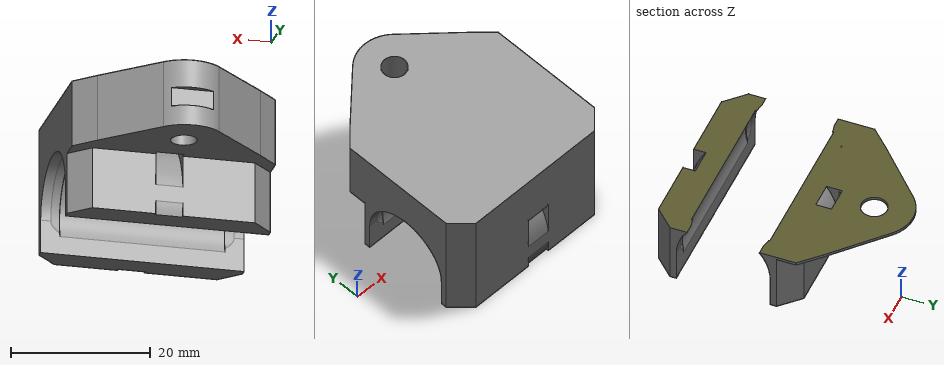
import cadquery as cq
import math

width = 30.0
depth = 22.5
height = 19.25
corner_chamfer = 3.0

plate_thickness = 10.0
plate_overhang = corner_chamfer
lug_radius = 6.0
total_length = 34.5
lug_hole_diameter = 3.9
lug_center_y = total_length - lug_radius
plate_bottom = height - plate_thickness

notch_depth = 0.85
notch_bottom = 12.25
notch_height = 2.8

arch_radius = 7.25
arch_center_y = depth / 2
arch_center_z = 5.0
bore_radius = 7.6
bore_inset = 2.83
taper_inset = 1.5
taper_end_radius = 7.45

strap_inner_radius = 11.3
strap_outer_radius = 13.35
strap_width = 4.0
strap_center_x = 0.65
strap_center_z = 3.25


def chamfered_block(length, bottom):
    """Rectangular block up to the top face with its four vertical edges chamfered."""
    return (
        cq.Workplane("XY", origin=(0, 0, bottom))
        .rect(width, length)
        .extrude(height - bottom)
        .edges("|Z")
        .chamfer(corner_chamfer)
        .translate((0, length / 2, 0))
    )


def lug_wedge():
    """Rounded lug whose sides run tangent from the plate's rear corners."""
    base_x = width / 2 - corner_chamfer
    base_y = depth + plate_overhang
    rise = lug_center_y - base_y
    reach = math.hypot(base_x, rise)
    tangent_angle = math.acos(lug_radius / reach) - math.atan2(rise, base_x)
    tangent_x = lug_radius * math.cos(tangent_angle)
    tangent_y = lug_center_y + lug_radius * math.sin(tangent_angle)
    return (
        cq.Workplane("XY", origin=(0, 0, plate_bottom))
        .moveTo(-base_x, base_y)
        .lineTo(base_x, base_y)
        .lineTo(tangent_x, tangent_y)
        .threePointArc((0, total_length), (-tangent_x, tangent_y))
        .close()
        .extrude(plate_thickness)
    )


def lug_hole():
    return (
        cq.Workplane("XY", origin=(0, lug_center_y, plate_bottom))
        .circle(lug_hole_diameter / 2)
        .extrude(plate_thickness)
    )


def lug_notch():
    return (
        cq.Workplane("XY", origin=(0, total_length, notch_bottom))
        .rect(width, 2 * notch_depth)
        .extrude(notch_height)
    )


def arch_passage():
    """Straight-sided arch, open at the underside, through the full width."""
    straight_sides = (
        cq.Workplane("XY", origin=(0, arch_center_y, 0))
        .rect(width, 2 * arch_radius)
        .extrude(arch_center_z)
    )
    crown = (
        cq.Workplane("YZ", origin=(-width / 2, arch_center_y, arch_center_z))
        .circle(arch_radius)
        .extrude(width)
    )
    return straight_sides.union(crown)


def inner_bore():
    """Bore wider than the arch, narrowing in a short taper towards each mouth."""
    bore_end = width / 2 - bore_inset
    taper_start = width / 2 - taper_inset
    return (
        cq.Workplane("XY")
        .moveTo(-taper_start, 0)
        .lineTo(-taper_start, arch_radius)
        .lineTo(-bore_end, taper_end_radius)
        .lineTo(-bore_end, bore_radius)
        .lineTo(bore_end, bore_radius)
        .lineTo(bore_end, taper_end_radius)
        .lineTo(taper_start, arch_radius)
        .lineTo(taper_start, 0)
        .close()
        .revolve(360, (0, 0, 0), (1, 0, 0))
        .translate((0, arch_center_y, arch_center_z))
    )


def strap_channel():
    left_side = strap_center_x - strap_width / 2
    return (
        cq.Workplane("YZ", origin=(left_side, arch_center_y, strap_center_z))
        .circle(strap_outer_radius)
        .circle(strap_inner_radius)
        .extrude(strap_width)
    )


block = chamfered_block(depth, 0)
plate = chamfered_block(depth + plate_overhang, plate_bottom)
body = block.union(plate).union(lug_wedge())

result = (
    body.cut(lug_hole())
    .cut(lug_notch())
    .cut(arch_passage())
    .cut(inner_bore())
    .cut(strap_channel())
)